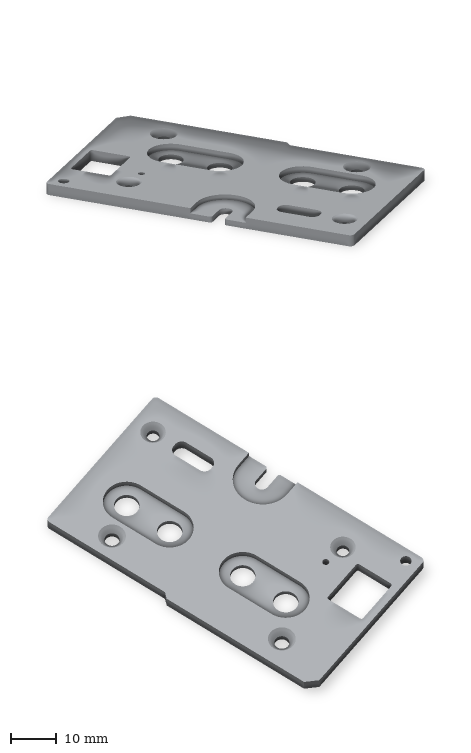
import cadquery as cq

length = 72.8
width = 41.4
thickness = 2.6
corner_radius = 1.0

bevel_x = 2.4
bevel_y = 2.3
step_start_x = 39.4
step_run = 1.3
step_drop = 1.2

pocket_depth = 1.5
pocket_width = 10.4
pocket_hole_spacing = 11.6
pocket_hole_diameter = 5.5
pocket_y = 26.0
pocket_centers_x = (24.4, 55.6)

rear_screw_y = 35.15
rear_screws_x = (12.95, 58.7)
rear_screw_diameter = 3.3
rear_sink_diameter = 6.05
front_screw_y = 7.9
front_screws_x = (16.4, 67.5)
front_screw_diameter = 2.8
front_sink_diameter = 5.5
sink_angle = 90.0

notch_x = 40.9
slot_width = 3.05
slot_end_y = 5.75
slot_mouth_radius = 0.5
recess_width = 13.1
recess_end_y = 10.4
recess_depth = 1.25

window_left = 1.9
window_front = 9.5
window_length = 9.5
window_width = 11.35
window_corner_radius = 0.5

cutout_center = (56.7, 7.9)
cutout_length = 10.05
cutout_width = 4.1
cutout_corner_radius = 1.75

pin_hole_center = (17.1, 13.25)
pin_hole_diameter = 1.5
corner_hole_center = (3.2, 2.8)
corner_hole_diameter = 2.5


def make_plate():
    """Plate outline including the open slot, with rounded corners."""
    right_rear_y = width - step_drop
    slot_left = notch_x - slot_width / 2
    slot_right = notch_x + slot_width / 2
    slot_arc_y = slot_end_y - slot_width / 2
    plate = (
        cq.Workplane("XY")
        .lineTo(slot_left, 0)
        .lineTo(slot_left, slot_arc_y)
        .threePointArc((notch_x, slot_end_y), (slot_right, slot_arc_y))
        .lineTo(slot_right, 0)
        .lineTo(length, 0)
        .lineTo(length, right_rear_y)
        .lineTo(step_start_x + step_run, right_rear_y)
        .lineTo(step_start_x, width)
        .lineTo(bevel_x, width)
        .lineTo(0, width - bevel_y)
        .close()
        .extrude(thickness)
    )
    for x, y, radius in (
        (0, 0, corner_radius),
        (length, 0, corner_radius),
        (length, right_rear_y, corner_radius),
        (slot_left, 0, slot_mouth_radius),
        (slot_right, 0, slot_mouth_radius),
    ):
        corner = cq.selectors.NearestToPointSelector((x, y, thickness / 2))
        plate = plate.edges("|Z").edges(corner).fillet(radius)
    return plate


def cut_recess(plate):
    """Shallow round-ended recess around the open slot."""
    radius = recess_width / 2
    arc_y = recess_end_y - radius
    recess = (
        cq.Workplane("XY", origin=(notch_x, 0, thickness - recess_depth))
        .moveTo(-radius, 0)
        .lineTo(-radius, arc_y)
        .threePointArc((0, recess_end_y), (radius, arc_y))
        .lineTo(radius, 0)
        .close()
        .extrude(recess_depth)
    )
    return plate.cut(recess)


def cut_pocket(plate, center_x):
    """Obround pocket concentric with its two through holes."""
    top = cq.Workplane("XY", origin=(center_x, pocket_y, thickness))
    pocket = top.slot2D(pocket_hole_spacing + pocket_width, pocket_width).extrude(-pocket_depth)
    half_spacing = pocket_hole_spacing / 2
    holes = (
        top.pushPoints([(-half_spacing, 0), (half_spacing, 0)])
        .circle(pocket_hole_diameter / 2)
        .extrude(-thickness)
    )
    return plate.cut(pocket).cut(holes)


def cut_screws(plate, centers_x, y, diameter, sink_diameter):
    """Row of through holes countersunk from the top."""
    return (
        plate.copyWorkplane(cq.Workplane("XY", origin=(0, 0, thickness)))
        .pushPoints([(x, y) for x in centers_x])
        .cskHole(diameter, sink_diameter, sink_angle)
    )


def cut_rounded_rectangle(plate, center, size_x, size_y, radius):
    """Rectangular through opening with rounded corners."""
    opening = (
        cq.Workplane("XY")
        .center(*center)
        .rect(size_x, size_y)
        .extrude(thickness)
        .edges("|Z")
        .fillet(radius)
    )
    return plate.cut(opening)


def cut_hole(plate, center, diameter):
    """Plain round through hole."""
    return plate.cut(cq.Workplane("XY").center(*center).circle(diameter / 2).extrude(thickness))


result = cut_recess(make_plate())

for pocket_x in pocket_centers_x:
    result = cut_pocket(result, pocket_x)

result = cut_screws(result, rear_screws_x, rear_screw_y, rear_screw_diameter, rear_sink_diameter)
result = cut_screws(result, front_screws_x, front_screw_y, front_screw_diameter, front_sink_diameter)

window_center = (window_left + window_length / 2, window_front + window_width / 2)
result = cut_rounded_rectangle(
    result, window_center, window_length, window_width, window_corner_radius
)
result = cut_rounded_rectangle(
    result, cutout_center, cutout_length, cutout_width, cutout_corner_radius
)

result = cut_hole(result, pin_hole_center, pin_hole_diameter)
result = cut_hole(result, corner_hole_center, corner_hole_diameter)